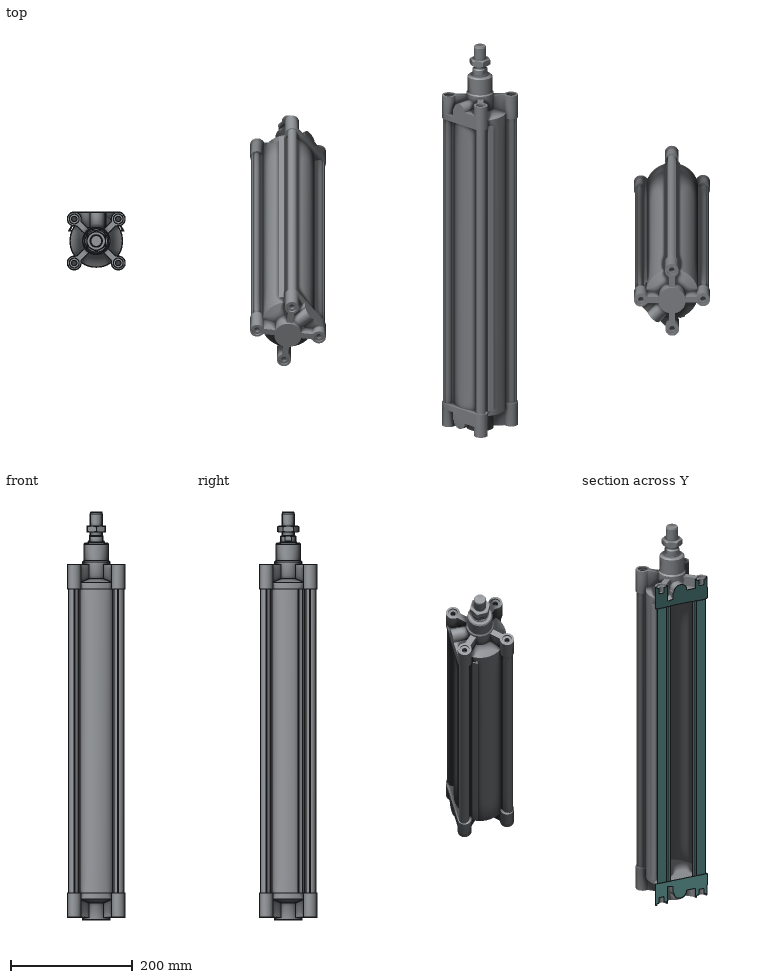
import cadquery as cq
import math

OVERALL_WIDTH = 95.0
POST_DIAMETER = 23.0

TOTAL_LENGTH = 668.5
REAR_COLLAR_HEIGHT = 4.0
FRONT_COLLAR_HEIGHT = 6.0
CAP_HEIGHT = 40.0
TUBE_LENGTH = 499.0

BARREL_DIAMETER = 86.0
BASE_HEIGHT = 10.0
CONE_HEIGHT = 7.0
HUB_DIAMETER = 45.0
RIB_WIDTH = 10.0
SCREW_RECESS_DIAMETER = 16.0
SCREW_RECESS_DEPTH = 3.5
SCREW_HOLE_DIAMETER = 9.0
SCREW_HOLE_DEPTH = 10.0
PORT_DIAMETER = 24.0
PORT_OFFSET = 2.0
PORT_HEIGHT = 23.5
PAD_LEDGE = 2.0

NECK_DIAMETER = 41.0
NECK_TOP = 618.0
NECK_CHAMFER = 2.0
WIPER_DIAMETER = 27.0
WIPER_HEIGHT = 2.0
FRONT_COLLAR_CHAMFER = 2.0

BORE_DIAMETER = 80.0
LOBE_DIAMETER = 15.5
LOBE_OUTER_DIAMETER = 18.0
LOBE_OFFSET = 37.0
GROOVE_WIDTH = 2.0
GROOVE_DEPTH = 2.0
LOBE_WEB_WIDTH = 11.0
LIP_Y = 16.0
LIP_HEIGHT = 7.5
LIP_THICKNESS = 1.5
LIP_OUTER_X = 45.5
LIP_INNER_X = 41.5

ROD_DIAMETER = 25.0
ROD_SHOULDER = 630.5
ROD_CHAMFER = 2.0
FLATS_WIDTH = 22.0
FLATS_LENGTH = 9.5
THREAD_DIAMETER = 20.0
THREAD_TIP_DIAMETER = 18.0
THREAD_TIP_LENGTH = 3.0

NUT_ACROSS_FLATS = 30.0
NUT_HEIGHT = 10.0
NUT_BOTTOM = 636.0
NUT_CHAMFER_ANGLE = 30.0

HALF_WIDTH = OVERALL_WIDTH / 2
POST_OFFSET = HALF_WIDTH - POST_DIAMETER / 2
CORNERS = [(sx * POST_OFFSET, sy * POST_OFFSET) for sx in (-1, 1) for sy in (-1, 1)]
CORNER_ANGLES = (45, 135, 225, 315)
CORNER_REACH = POST_OFFSET * math.sqrt(2)
TUBE_BOTTOM = REAR_COLLAR_HEIGHT + CAP_HEIGHT
TUBE_TOP = TUBE_BOTTOM + TUBE_LENGTH
FRONT_FACE = TUBE_TOP + CAP_HEIGHT
FRONT_COLLAR_TOP = FRONT_FACE + FRONT_COLLAR_HEIGHT


def cylinder(diameter, height, bottom=0.0):
    return cq.Workplane("XY").workplane(offset=bottom).circle(diameter / 2).extrude(height)


def box(x0, x1, y0, y1, height):
    """Block between two X and two Y values, standing on Z = 0."""
    centre = ((x0 + x1) / 2, (y0 + y1) / 2, 0)
    return cq.Workplane("XY").rect(abs(x1 - x0), abs(y1 - y0)).extrude(height).translate(centre)


def diagonal_bar(reach, width, height):
    """Bar from the centre outwards along +X, standing on Z = 0."""
    return box(0, reach, -width / 2, width / 2, height)


def cap_core():
    """Round base, cone and hub as one turned shape."""
    base_radius = BARREL_DIAMETER / 2
    hub_radius = HUB_DIAMETER / 2
    return (
        cq.Workplane("XZ")
        .polyline([
            (0, 0),
            (base_radius, 0),
            (base_radius, BASE_HEIGHT),
            (hub_radius, BASE_HEIGHT + CONE_HEIGHT),
            (hub_radius, CAP_HEIGHT),
            (0, CAP_HEIGHT),
        ])
        .close()
        .revolve(360, (0, 0, 0), (0, 1, 0))
    )


def corner_post(x, y):
    """Round post whose two inward sides run on tangentially into the rib."""
    radius = POST_DIAMETER / 2
    inward_x = x - math.copysign(radius / 2, x)
    inward_y = y - math.copysign(radius / 2, y)
    square = cq.Workplane("XY").center(inward_x, inward_y).rect(radius, radius).extrude(CAP_HEIGHT)
    return cylinder(POST_DIAMETER, CAP_HEIGHT).translate((x, y, 0)).union(square)


def port_side():
    """Flat +Y side: low plate, port boss, and a raised pad beneath it reaching to the -X rib."""
    hub_radius = HUB_DIAMETER / 2
    pad_side = PORT_OFFSET + PORT_DIAMETER / 2 + PAD_LEDGE
    plate = box(-POST_OFFSET, POST_OFFSET, POST_OFFSET, HALF_WIDTH, BASE_HEIGHT)
    pad = (
        cq.Workplane("XY")
        .polyline([
            (pad_side, hub_radius),
            (pad_side, HALF_WIDTH),
            (-POST_OFFSET, HALF_WIDTH),
            (-POST_OFFSET, POST_OFFSET),
            (-hub_radius, hub_radius),
        ])
        .close()
        .extrude(PORT_HEIGHT)
    )
    boss = (
        cq.Workplane("XZ")
        .center(PORT_OFFSET, PORT_HEIGHT)
        .circle(PORT_DIAMETER / 2)
        .extrude(-HALF_WIDTH)
    )
    return plate.union(pad).union(boss)


def screw_hole():
    """Cutter for a recessed blind screw hole in the outer face of a post."""
    recess_floor = CAP_HEIGHT - SCREW_RECESS_DEPTH
    recess = cylinder(SCREW_RECESS_DIAMETER, SCREW_RECESS_DEPTH, recess_floor)
    hole = cylinder(SCREW_HOLE_DIAMETER, SCREW_HOLE_DEPTH, recess_floor - SCREW_HOLE_DEPTH)
    return recess.union(hole)


def cap():
    """Core and port side tied by diagonal ribs to four drilled corner posts."""
    body = cap_core().union(port_side())
    for angle in CORNER_ANGLES:
        rib = diagonal_bar(CORNER_REACH, RIB_WIDTH, CAP_HEIGHT)
        body = body.union(rib.rotate((0, 0, 0), (0, 0, 1), angle))
    for x, y in CORNERS:
        body = body.union(corner_post(x, y))
        body = body.cut(screw_hole().translate((x, y, 0)))
    return body


def make_rear_cap():
    collar = cylinder(HUB_DIAMETER, REAR_COLLAR_HEIGHT)
    return cap().mirror("XY").translate((0, 0, TUBE_BOTTOM)).union(collar)


def make_front_cap():
    """Cap with its collar, the rod guide neck and a through hole for the rod."""
    collar = cylinder(HUB_DIAMETER, FRONT_COLLAR_HEIGHT, FRONT_FACE)
    collar = collar.faces(">Z").chamfer(FRONT_COLLAR_CHAMFER)
    neck = cylinder(NECK_DIAMETER, NECK_TOP - FRONT_COLLAR_TOP, FRONT_COLLAR_TOP)
    neck = neck.faces(">Z").chamfer(NECK_CHAMFER)
    wiper = cylinder(WIPER_DIAMETER, WIPER_HEIGHT, NECK_TOP)
    rod_hole = cylinder(ROD_DIAMETER, NECK_TOP + WIPER_HEIGHT - TUBE_TOP, TUBE_TOP)
    body = cap().translate((0, 0, TUBE_TOP)).union(collar).union(neck).union(wiper)
    return body.cut(rod_hole)


def tube_lobe():
    """Corner lobe on the +X+Y diagonal, joined by a web.

    The outward quarter is raised, and a narrow groove runs beside each of its two ends.
    """
    lobe = cylinder(LOBE_DIAMETER, TUBE_LENGTH)
    quarter_zone = box(0, LOBE_OUTER_DIAMETER, 0, LOBE_OUTER_DIAMETER, TUBE_LENGTH)
    raised_quarter = cylinder(LOBE_OUTER_DIAMETER, TUBE_LENGTH).intersect(quarter_zone)
    lobe = lobe.union(raised_quarter)
    outer_radius = LOBE_OUTER_DIAMETER / 2
    groove_floor = outer_radius - GROOVE_DEPTH
    x_side_groove = box(groove_floor, outer_radius, -GROOVE_WIDTH, 0, TUBE_LENGTH)
    y_side_groove = box(-GROOVE_WIDTH, 0, groove_floor, outer_radius, TUBE_LENGTH)
    lobe = lobe.cut(x_side_groove).cut(y_side_groove).translate((LOBE_OFFSET, LOBE_OFFSET, 0))
    web = diagonal_bar(CORNER_REACH, LOBE_WEB_WIDTH, TUBE_LENGTH).rotate((0, 0, 0), (0, 0, 1), 45)
    return lobe.union(web)


def sensor_lip():
    """Thin hooked lip on the +X side, leaning back towards the lobe above it."""
    root_x = BORE_DIAMETER / 2 - LIP_THICKNESS
    lip_top = LIP_Y + LIP_HEIGHT
    return (
        cq.Workplane("XY")
        .polyline([
            (root_x, LIP_Y),
            (LIP_OUTER_X, LIP_Y),
            (LIP_INNER_X, lip_top),
            (LIP_INNER_X - LIP_THICKNESS, lip_top),
            (LIP_OUTER_X - 2 * LIP_THICKNESS, LIP_Y + LIP_THICKNESS),
            (root_x, LIP_Y + LIP_THICKNESS),
        ])
        .close()
        .extrude(TUBE_LENGTH)
    )


def make_tube():
    body = cylinder(BARREL_DIAMETER, TUBE_LENGTH)
    for quarter in range(4):
        body = body.union(tube_lobe().rotate((0, 0, 0), (0, 0, 1), 90 * quarter))
    lip = sensor_lip()
    body = body.union(lip).union(lip.mirror("YZ"))
    return body.cut(cylinder(BORE_DIAMETER, TUBE_LENGTH)).translate((0, 0, TUBE_BOTTOM))


def make_rod():
    """Rod from the tube face of the front cap, with wrench flats and a threaded end."""
    shank = cylinder(ROD_DIAMETER, ROD_SHOULDER - TUBE_TOP, TUBE_TOP).faces(">Z").chamfer(ROD_CHAMFER)
    flats_bottom = ROD_SHOULDER - FLATS_LENGTH
    rod_radius = ROD_DIAMETER / 2
    for side in (-1, 1):
        flat = box(side * FLATS_WIDTH / 2, side * rod_radius, -rod_radius, rod_radius, FLATS_LENGTH)
        shank = shank.cut(flat.translate((0, 0, flats_bottom)))
    thread = cylinder(THREAD_DIAMETER, TOTAL_LENGTH - ROD_SHOULDER, ROD_SHOULDER)
    thread = thread.faces(">Z").chamfer(THREAD_TIP_LENGTH, (THREAD_DIAMETER - THREAD_TIP_DIAMETER) / 2)
    return shank.union(thread)


def make_nut():
    """Hexagon nut, flats facing +-X, corners turned off at both ends."""
    corner_radius = NUT_ACROSS_FLATS / math.sqrt(3)
    flat_radius = NUT_ACROSS_FLATS / 2
    corner_drop = (corner_radius - flat_radius) * math.tan(math.radians(NUT_CHAMFER_ANGLE))
    hexagon = (
        cq.Workplane("XY")
        .polygon(6, 2 * corner_radius)
        .extrude(NUT_HEIGHT)
        .rotate((0, 0, 0), (0, 0, 1), 30)
    )
    turned = (
        cq.Workplane("XZ")
        .polyline([
            (0, 0),
            (flat_radius, 0),
            (corner_radius, corner_drop),
            (corner_radius, NUT_HEIGHT - corner_drop),
            (flat_radius, NUT_HEIGHT),
            (0, NUT_HEIGHT),
        ])
        .close()
        .revolve(360, (0, 0, 0), (0, 1, 0))
    )
    nut = hexagon.intersect(turned).cut(cylinder(THREAD_DIAMETER, NUT_HEIGHT))
    return nut.translate((0, 0, NUT_BOTTOM))


rear_cap = make_rear_cap()
tube = make_tube()
front_cap = make_front_cap()
rod = make_rod()
nut = make_nut()

result = cq.Compound.makeCompound([
    rear_cap.val(),
    tube.val(),
    front_cap.val(),
    rod.val(),
    nut.val(),
])